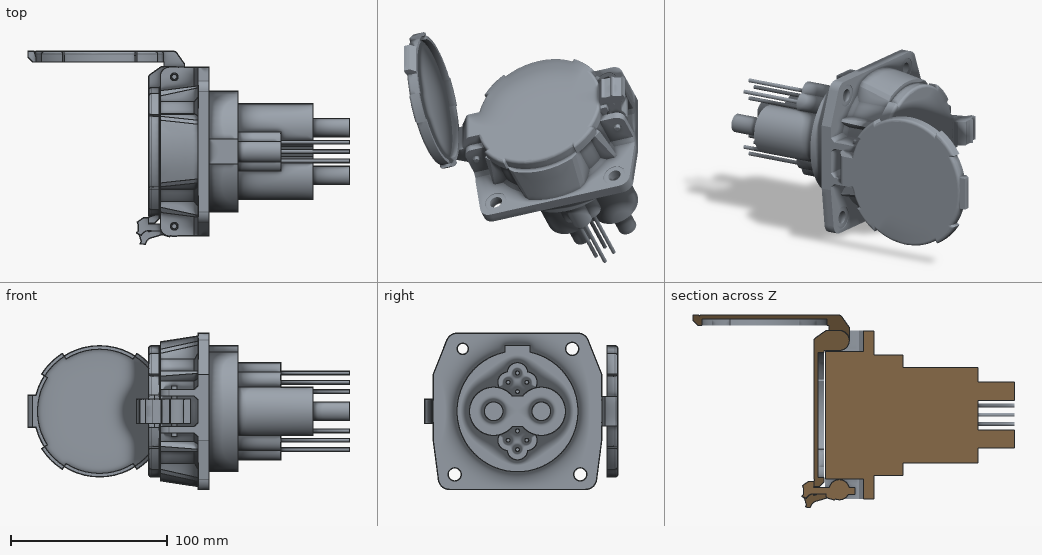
import cadquery as cq
import math


flange_thickness = 7.0
flange_half_width = 53.9
flange_half_height = 50.0
flange_top_half_width = 43.4
flange_bottom_half_width = 49.8
flange_taper_top_z = 23.6
flange_taper_bottom_z = -18.5
flange_corner_radius = 7.2
spotface_rim = 3.0
spotface_depth = 0.5
mounting_holes = [
    (35.0, 39.9, 4.1),
    (-35.0, 39.9, 3.5),
    (40.0, -40.3, 4.1),
    (-40.0, -40.3, 4.1),
]

barrel_length = 24.0
barrel_radius = 41.0
foot = 2.5
hump_front_radius = 44.5
hump_back_radius = 48.1
hump_root_y = 24.3
hump_root_z = 33.3
hump_wall_slope = 0.47
hump_edge_chamfer = 1.9
fin_top_z = 25.7
fin_front_top_y = 35.5
fin_back_top_y = 40.7
fin_front_tip = (38.9, 22.5)
fin_back_tip = (42.0, 24.3)
fin_root_top_y = 31.3
fin_root_bottom = (36.0, 19.3)

ear_inner_z = 9.7
ear_outer_z = 14.0
ear_corner_radius = 5.5
pivot_x = -15.2
pivot_y = 47.7
ear_bore_radius = 2.5

rear_end_x = 25.5
rear_radius = 38.7
key_width = 16.0
key_top_z = 42.0
large_sheath_end_x = 73.5
large_sheath_radius = 15.5
large_cable_y = 15.2
sheath_web_width = 7.5
sheath_web_height = 19.3
small_sheath_end_x = 52.8
small_sheath_radius = 6.5
small_cluster_z = 18.5
small_cable_offset = 6.0
cable_end_x = 96.8
large_cable_radius = 6.0
small_cable_radius = 1.2

lid_front_x = -31.7
lid_thickness = 7.0
lid_radius = 42.0
lobe_radius = 44.0
lobe_half_angle = 12.3
lid_wall = 2.3
lid_recess_depth = 4.1
lid_edge_fillet = 1.9
tab_half_width = 10.3
tab_reach = 45.8
tab_chamfer = 3.0
arm_half_width = 9.5
knuckle_radius = 6.5
arm_root_y = 37.8
arm_shoulder = 0.8
arm_slope_start = 1.6
arm_fillet = 3.0
open_lid_angle = -90

latch_half_width = 7.8
latch_grip_outline = [
    (0, 1.5), (-16.5, 1.5), (-16.5, 5.5), (-19.5, 5.5), (-23.6, 2.7), (-23.0, 0.8),
    (-23.0, -3.0), (-24.3, -4.3), (-21.0, -5.8),
]
latch_grip_hollow = [(-18.5, -3.3), (-15.5, -2.9)]
latch_underside = [(-8.6, -2.9), (-8.5, -5.1), (-3.0, -6.8), (0, -4.1)]
latch_tail_reach = 10.3
latch_tail_thickness = 4.5
latch_tail_offset = 3.0
open_latch_angle = 17

pin_radius = 1.6
pin_half_length = 16.0


def rod(start_x, end_x, radius, y=0.0, z=0.0):
    """Cylinder along X."""
    plane = cq.Plane(origin=(start_x, 0, 0), xDir=(0, 1, 0), normal=(1, 0, 0))
    return cq.Workplane(plane).center(y, z).circle(radius).extrude(end_x - start_x)


def block(x0, x1, y0, y1, z0, z1):
    """Box between two opposite corners."""
    return cq.Workplane("XY").box(x1 - x0, y1 - y0, z1 - z0, centered=False).translate((x0, y0, z0))


def cone(start_x, end_x, start_radius, end_radius):
    """Truncated cone along X."""
    return cq.Workplane("XY").polyline(
        [(start_x, 0), (start_x, start_radius), (end_x, end_radius), (end_x, 0)]
    ).close().revolve(360, (0, 0, 0), (1, 0, 0))


def z_prism(points, z0, z1):
    """Polygon in XY extruded from z0 to z1."""
    return cq.Workplane("XY").workplane(offset=z0).polyline(points).close().extrude(z1 - z0)


def pivot_pin(y):
    """Pivot pin along Z at the given Y."""
    return (
        cq.Workplane("XY").workplane(offset=-pin_half_length)
        .center(pivot_x, y).circle(pin_radius).extrude(2 * pin_half_length)
    )


def swing(shape, y, angle):
    """Turn a shape about the pivot axis at the given Y."""
    return shape.rotate((pivot_x, y, 0), (pivot_x, y, 1), angle)



def make_flange():
    half = [
        (flange_top_half_width, flange_half_height),
        (flange_half_width, flange_taper_top_z),
        (flange_half_width, flange_taper_bottom_z),
        (flange_bottom_half_width, -flange_half_height),
    ]
    outline = half + [(-y, z) for y, z in reversed(half)]
    plate = cq.Workplane("YZ").polyline(outline).close().extrude(flange_thickness)
    for side in (">Z", "<Z"):
        plate = plate.faces(side).edges("|X").fillet(flange_corner_radius)
    for y, z, radius in mounting_holes:
        plate = plate.cut(rod(0, flange_thickness, radius, y, z))
        plate = plate.cut(rod(0, spotface_depth, radius + spotface_rim, y, z))
    return plate


def make_hump():
    """Conical hump on top of the barrel with side walls leaning inward."""
    height = hump_back_radius - hump_root_z
    top_y = hump_root_y - hump_wall_slope * height
    sector = (
        cq.Workplane("YZ").workplane(offset=-barrel_length)
        .polyline([
            (-hump_root_y, hump_root_z), (-top_y, hump_back_radius),
            (top_y, hump_back_radius), (hump_root_y, hump_root_z),
        ]).close().extrude(barrel_length)
    )
    hump = cone(-barrel_length, 0, hump_front_radius, hump_back_radius).intersect(sector)
    side_edges = hump.edges().filter(
        lambda edge: edge.BoundingBox().xlen > barrel_length / 2
        and edge.Center().z > (hump_root_z + hump_front_radius) / 2
    )
    return side_edges.chamfer(hump_edge_chamfer)


def make_fin():
    """Draft-widened corner fin between barrel and ear, in the +Y +Z quarter."""
    root_top = (fin_root_top_y, fin_top_z)
    root_core = (fin_root_top_y, fin_root_bottom[1])
    front = [root_top, (fin_front_top_y, fin_top_z), fin_front_tip, fin_root_bottom, root_core]
    back = [root_top, (fin_back_top_y, fin_top_z), fin_back_tip, fin_root_bottom, root_core]
    return (
        cq.Workplane("YZ").workplane(offset=-barrel_length).polyline(front).close()
        .workplane(offset=barrel_length).polyline(back).close().loft(ruled=True)
    )


def make_ear():
    """Upper ear on the +Y side, flared at its foot and bored for the pivot pin."""
    side_view = [
        (-barrel_length, ear_inner_z), (-barrel_length, ear_outer_z),
        (-foot, ear_outer_z), (0, ear_outer_z + foot),
        (0, ear_inner_z - foot), (-foot, ear_inner_z),
    ]
    plane = cq.Plane(origin=(0, 0, 0), xDir=(1, 0, 0), normal=(0, -1, 0))
    ear = cq.Workplane(plane).polyline(side_view).close().extrude(-flange_half_width)
    ear = ear.faces("<X").edges(">Y").fillet(ear_corner_radius)
    bore = cq.Workplane("XY").center(pivot_x, pivot_y).circle(ear_bore_radius).extrude(2 * ear_outer_z)
    return ear.cut(bore)


def make_rear():
    """Rear body with its key, cable sheaths and conductors."""
    x0 = flange_thickness
    rear = rod(x0, rear_end_x, rear_radius)
    rear = rear.union(block(x0, rear_end_x, -key_width / 2, key_width / 2, 0, key_top_z))
    rear = rear.union(block(
        x0, large_sheath_end_x, -sheath_web_width / 2, sheath_web_width / 2,
        -sheath_web_height / 2, sheath_web_height / 2,
    ))
    for side in (1, -1):
        y = side * large_cable_y
        rear = rear.union(rod(x0, large_sheath_end_x, large_sheath_radius, y))
        rear = rear.union(rod(x0, cable_end_x, large_cable_radius, y))
        for quarter in range(4):
            angle = math.radians(90 * quarter)
            y = small_cable_offset * math.cos(angle)
            z = side * small_cluster_z + small_cable_offset * math.sin(angle)
            rear = rear.union(rod(x0, small_sheath_end_x, small_sheath_radius, y, z))
            rear = rear.union(rod(x0, cable_end_x, small_cable_radius, y, z))
    return rear


def make_housing():
    barrel = rod(-barrel_length, 0, barrel_radius)
    ear_pocket = block(-foot, 0, -flange_half_width, flange_half_width, -ear_inner_z, ear_inner_z)
    flare = cone(-foot, 0, barrel_radius, barrel_radius + foot).cut(ear_pocket)
    barrel = barrel.union(flare)
    hump = make_hump()
    barrel = barrel.union(hump).union(hump.mirror("XY"))
    quarter = make_fin().union(make_ear())
    side_pair = quarter.union(quarter.mirror("XY"))
    barrel = barrel.union(side_pair).union(side_pair.mirror("XZ"))
    return barrel.union(make_flange()).union(make_rear())



def lobed_disc(start_x, end_x, radius, lobe):
    """Round disc with four raised lobes on the diagonals."""
    disc = rod(start_x, end_x, radius)
    reach = 2 * lobe
    half_angle = math.radians(lobe_half_angle)
    for quarter in range(4):
        middle = math.radians(45 + 90 * quarter)
        corners = [
            (reach * math.cos(a), reach * math.sin(a))
            for a in (middle - half_angle, middle + half_angle)
        ]
        wedge = (
            cq.Workplane("YZ").workplane(offset=start_x)
            .polyline([(0, 0)] + corners).close().extrude(end_x - start_x)
        )
        disc = disc.union(rod(start_x, end_x, lobe).intersect(wedge))
    return disc


def make_lid():
    """Cup-shaped lid with latch tab, hinge arm and hinge pin, in its closed position."""
    back_x = lid_front_x + lid_thickness
    lid = lobed_disc(lid_front_x, back_x, lid_radius, lobe_radius)
    lid = lid.faces("<X").edges().fillet(lid_edge_fillet)
    wall_inner_radius = lid_radius - lid_wall
    tab = z_prism([
        (lid_front_x, -lid_radius), (lid_front_x, -tab_reach),
        (back_x - tab_chamfer, -tab_reach), (back_x, tab_chamfer - tab_reach), (back_x, -wall_inner_radius),
    ], -tab_half_width, tab_half_width)
    knuckle_inner_y = pivot_y - knuckle_radius
    knuckle_outer_y = pivot_y + knuckle_radius
    arm = z_prism([
        (lid_front_x, arm_root_y), (lid_front_x, pivot_y + arm_shoulder),
        (pivot_x - knuckle_radius - arm_slope_start, knuckle_outer_y), (pivot_x, knuckle_outer_y),
        (pivot_x, knuckle_inner_y), (back_x, knuckle_inner_y), (back_x, arm_root_y),
    ], -arm_half_width, arm_half_width)
    arm = arm.edges(cq.selectors.NearestToPointSelector(
        (lid_front_x, pivot_y + arm_shoulder, 0)
    )).fillet(arm_fillet)
    knuckle = (
        cq.Workplane("XY").workplane(offset=-arm_half_width)
        .center(pivot_x, pivot_y).circle(knuckle_radius).extrude(2 * arm_half_width)
    )
    recess = lobed_disc(back_x - lid_recess_depth, back_x, wall_inner_radius, lobe_radius - lid_wall)
    lid = lid.union(tab).union(arm).cut(recess)
    return lid.union(knuckle).union(pivot_pin(pivot_y))



def make_latch():
    """Hooked latch with its pivot pin, in its closed position."""
    profile = (
        cq.Workplane("XY").workplane(offset=-latch_half_width).center(pivot_x, -pivot_y)
        .polyline(latch_grip_outline).threePointArc(*latch_grip_hollow)
        .polyline(latch_underside, includeCurrent=True).close()
        .extrude(2 * latch_half_width)
    )
    knuckle = (
        cq.Workplane("XY").workplane(offset=-latch_half_width)
        .center(pivot_x, -pivot_y).circle(knuckle_radius).extrude(2 * latch_half_width)
    )
    outer_y = -pivot_y - latch_tail_offset
    tail = block(
        pivot_x, pivot_x + latch_tail_reach, outer_y, outer_y + latch_tail_thickness,
        -latch_half_width, latch_half_width,
    )
    return profile.union(knuckle).union(tail).union(pivot_pin(-pivot_y))


def largest_solid(shape):
    """The biggest of the solids in a shape."""
    return max(shape.solids().vals(), key=lambda solid: solid.Volume())


housing = make_housing()

closed_lid = make_lid()
open_lid = largest_solid(swing(closed_lid, pivot_y, open_lid_angle).cut(closed_lid))

closed_latch = make_latch()
open_latch = largest_solid(swing(closed_latch, -pivot_y, open_latch_angle).cut(closed_latch))

result = cq.Compound.makeCompound([
    housing.val(), closed_lid.val(), open_lid, closed_latch.val(), open_latch,
])